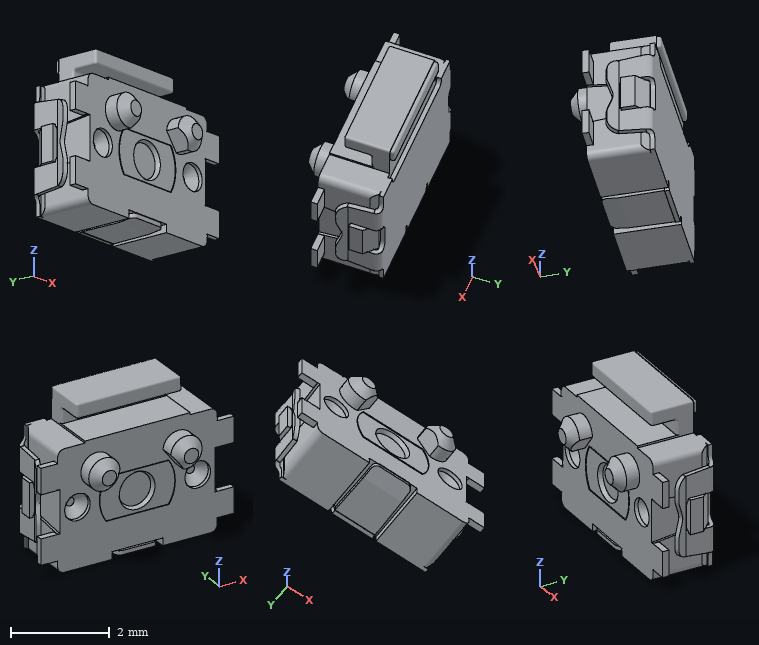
import cadquery as cq
import math


TOTAL_WIDTH = 4.6
HOUSING_WIDTH = 3.8
HOUSING_HEIGHT = 2.805
TOTAL_DEPTH = 1.415
SHEET = 0.1
HOUSING_DEPTH = TOTAL_DEPTH - SHEET
HOUSING_CORNER_RADIUS = 0.16
BACK_BEVEL_X = 0.095
BACK_BEVEL_Y = 0.18
HALF_WIDTH = HOUSING_WIDTH / 2
HALF_HEIGHT = HOUSING_HEIGHT / 2

TERMINAL_HEIGHT = 0.603
TERMINAL_THICKNESS = 0.145
TERMINAL_GAP = 1.0
RECESS_DEPTH_X = 0.055
RECESS_DEPTH_Y = 0.875
RECESS_END_HEIGHT = 0.8

BUTTON_WIDTH = 2.502
BUTTON_TOP = 2.15
BUTTON_UNDERSIDE = 1.8
BUTTON_FRONT = 0.32
STEM_FRONT = 0.915
BUTTON_RADIUS = 0.055
GUIDE_RISE = 0.045
LIP_INSET = 0.02

PEG_X = 0.975
PEG_Z = 0.75
PEG_RADIUS = 0.373
PEG_TIP_RADIUS = 0.17
PEG_LENGTH = 0.5
PEG_TAPER_LENGTH = 0.2
PEG_FLAT_OFFSET = 0.275

PANEL_RADIUS = 0.895
PANEL_HEIGHT = 1.0
PANEL_DEPTH = 0.02
CENTER_HOLE_RADIUS = 0.432
CENTER_HOLE_FLOOR_RADIUS = 0.38
CENTER_HOLE_DEPTH = 0.12
DIMPLE_X = 1.43
DIMPLE_RADIUS = 0.305
DIMPLE_FLOOR_RADIUS = 0.095
DIMPLE_RIM_DEPTH = 0.087
DIMPLE_CONE_DEPTH = 0.202

COVER_WIDTH = 3.7
COVER_NOTCH_WIDTH = 2.715
COVER_NOTCH_DEPTH = 0.185
COVER_NOTCH_RADIUS = 0.13

LEAF_OUTER_X = 2.02
LEAF_INNER_X = LEAF_OUTER_X - SHEET
BEND_RADIUS = 0.15
BEND_Y = TOTAL_DEPTH - BEND_RADIUS
LEAF_ROOT_HALF_HEIGHT = 0.985
LEAF_KNEE_HALF_HEIGHT = 0.925
LEAF_KNEE_Y = 0.685
FLARE_ANGLE = 24.0
FLARE_LENGTH = 0.27
FLARE_CORNER_RADIUS = 0.265
DIP_HALF_HEIGHT = 0.4
DIP_APEX = 0.125
DIP_RADIUS = 0.23
DIP_SHOULDER_RADIUS = 0.37
WINDOW_HALF_HEIGHT = 0.4
WINDOW_FRONT_Y = 0.718
WINDOW_FRONT_RADIUS = 0.14
WINDOW_INSET = 0.075
WINDOW_ROOT_RADIUS = 0.175
ROOT_FILLET = 0.15

CATCH_OUTER_X = 2.105
CATCH_FRONT_Y = 0.76
CATCH_BEVEL_Y = 1.06

TONGUE_SLOT_WIDTH = 1.195
TONGUE_SLOT_DEPTH = 0.18
NECK_WIDTH = 1.115
TONGUE_WIDTH = 1.01
TONGUE_END_WIDTH = 0.955
TONGUE_TIP_WIDTH = 0.69
TONGUE_TIP_RADIUS = (TONGUE_END_WIDTH - TONGUE_TIP_WIDTH) / 2
TONGUE_TIP_Y = -0.025
TONGUE_BOTTOM = -1.39
TONGUE_LIFT = 0.04
TONGUE_BEND_Y = 0.37

EPS = 0.025


def block(x0, x1, y0, y1, z0, z1):
    """Box between two corners."""
    return cq.Workplane("XY").box(x1 - x0, y1 - y0, z1 - z0, centered=False).translate((x0, y0, z0))


def wide_block(width, y0, y1, z0, z1):
    """Box centred on X = 0."""
    return block(-width / 2, width / 2, y0, y1, z0, z1)


def xz_sketch(y):
    """XZ workplane at depth y; a positive extrusion runs toward -Y."""
    return cq.Workplane("XZ", origin=(0, y, 0))


def both_sides(shape):
    """The shape with its mirror image about X = 0."""
    return shape.union(shape.mirror("YZ"))


def frustum(x, z, y, radius, end_radius, length):
    """Cone along Y from radius at y to end_radius at y + length."""
    big_end = cq.Plane(origin=(x, y, z), xDir=(1, 0, 0), normal=(0, 1 if length > 0 else -1, 0))
    taper = math.degrees(math.atan2(radius - end_radius, abs(length)))
    return cq.Workplane(big_end).circle(radius).extrude(abs(length), taper=taper)


def make_housing():
    body = wide_block(HOUSING_WIDTH, 0, HOUSING_DEPTH, -HALF_HEIGHT, HALF_HEIGHT)
    body = body.edges("|Y").fillet(HOUSING_CORNER_RADIUS)
    bevel = (
        cq.Workplane("XY", origin=(0, 0, -HALF_HEIGHT))
        .moveTo(HALF_WIDTH, HOUSING_DEPTH - BACK_BEVEL_Y)
        .lineTo(HALF_WIDTH, HOUSING_DEPTH)
        .lineTo(HALF_WIDTH - BACK_BEVEL_X, HOUSING_DEPTH)
        .close()
        .extrude(HOUSING_HEIGHT)
    )
    recess_floor_x = HALF_WIDTH - RECESS_DEPTH_X
    recess = (
        cq.Workplane("YZ", origin=(recess_floor_x, 0, 0))
        .moveTo(0, -TERMINAL_GAP / 2)
        .lineTo(RECESS_DEPTH_Y, -RECESS_END_HEIGHT / 2)
        .lineTo(RECESS_DEPTH_Y, RECESS_END_HEIGHT / 2)
        .lineTo(0, TERMINAL_GAP / 2)
        .close()
        .extrude(RECESS_DEPTH_X + EPS)
    )
    body = body.cut(both_sides(bevel)).cut(both_sides(recess))
    slot_top = -HALF_HEIGHT + TONGUE_SLOT_DEPTH
    return body.cut(wide_block(TONGUE_SLOT_WIDTH, -EPS, HOUSING_DEPTH, -HALF_HEIGHT - EPS, slot_top))


def make_terminals():
    lower = TERMINAL_GAP / 2
    upper = lower + TERMINAL_HEIGHT
    terminals = wide_block(TOTAL_WIDTH, 0, TERMINAL_THICKNESS, lower, upper)
    return terminals.union(terminals.mirror("XY"))


def make_button():
    guide_top = HALF_HEIGHT + GUIDE_RISE
    guide = wide_block(BUTTON_WIDTH, 0, HOUSING_DEPTH, HALF_HEIGHT - EPS, guide_top)
    hook = (
        cq.Workplane("YZ", origin=(-BUTTON_WIDTH / 2, 0, 0))
        .moveTo(HOUSING_DEPTH, guide_top - EPS)
        .lineTo(HOUSING_DEPTH, BUTTON_TOP)
        .lineTo(BUTTON_FRONT, BUTTON_TOP)
        .lineTo(BUTTON_FRONT, BUTTON_UNDERSIDE)
        .lineTo(STEM_FRONT, BUTTON_UNDERSIDE)
        .lineTo(STEM_FRONT, guide_top - EPS)
        .close()
        .extrude(BUTTON_WIDTH)
    )
    inner_corner = cq.selectors.NearestToPointSelector((0, STEM_FRONT, BUTTON_UNDERSIDE))
    hook = hook.edges("|X").edges(inner_corner).fillet(BUTTON_RADIUS)
    hook = hook.edges("not (<Z or >Y)").fillet(BUTTON_RADIUS)
    lip = wide_block(
        BUTTON_WIDTH - 2 * LIP_INSET,
        HOUSING_DEPTH - BUTTON_RADIUS,
        TOTAL_DEPTH,
        BUTTON_UNDERSIDE + LIP_INSET,
        BUTTON_TOP - LIP_INSET,
    )
    lip = lip.edges("|Y").fillet(BUTTON_RADIUS).faces(">Y").edges().fillet(BUTTON_RADIUS)
    return guide.union(hook).union(lip)


def make_pegs():
    shank_length = PEG_LENGTH - PEG_TAPER_LENGTH
    shank = xz_sketch(EPS).center(PEG_X, PEG_Z).circle(PEG_RADIUS).extrude(shank_length + EPS)
    tip = frustum(PEG_X, PEG_Z, -shank_length, PEG_RADIUS, PEG_TIP_RADIUS, -PEG_TAPER_LENGTH)
    peg = shank.union(tip)
    flat_angle = math.degrees(math.atan2(PEG_Z, PEG_X))
    flat = block(-PEG_RADIUS, -PEG_FLAT_OFFSET, -PEG_LENGTH, EPS, -PEG_RADIUS, PEG_RADIUS)
    flat = flat.rotate((0, 0, 0), (0, 1, 0), -flat_angle).translate((PEG_X, 0, PEG_Z))
    return both_sides(peg.cut(flat))


def make_face_hollows():
    panel = xz_sketch(PANEL_DEPTH).circle(PANEL_RADIUS).extrude(PANEL_DEPTH)
    panel = panel.intersect(
        wide_block(2 * PANEL_RADIUS, 0, PANEL_DEPTH, -PANEL_HEIGHT / 2, PANEL_HEIGHT / 2)
    )
    hole = frustum(0, 0, 0, CENTER_HOLE_RADIUS, CENTER_HOLE_FLOOR_RADIUS, CENTER_HOLE_DEPTH)
    rim = xz_sketch(DIMPLE_RIM_DEPTH).center(DIMPLE_X, 0).circle(DIMPLE_RADIUS).extrude(DIMPLE_RIM_DEPTH)
    cone = frustum(DIMPLE_X, 0, DIMPLE_RIM_DEPTH, DIMPLE_RADIUS, DIMPLE_FLOOR_RADIUS, DIMPLE_CONE_DEPTH)
    dimple = rim.union(cone)
    return panel.union(hole).union(both_sides(dimple))


def make_cover_plate():
    plate = wide_block(COVER_WIDTH, HOUSING_DEPTH, TOTAL_DEPTH, -HALF_HEIGHT, HALF_HEIGHT)
    notch_floor = HALF_HEIGHT - COVER_NOTCH_DEPTH
    notch = wide_block(COVER_NOTCH_WIDTH, HOUSING_DEPTH, TOTAL_DEPTH, notch_floor, HALF_HEIGHT)
    notch = notch.edges("|Y and <Z").fillet(COVER_NOTCH_RADIUS)
    slot_top = -HALF_HEIGHT + TONGUE_SLOT_DEPTH
    relief = (
        xz_sketch(TOTAL_DEPTH)
        .moveTo(TONGUE_SLOT_WIDTH / 2, -HALF_HEIGHT)
        .lineTo(TONGUE_WIDTH / 2, -HALF_HEIGHT)
        .lineTo(NECK_WIDTH / 2, slot_top)
        .lineTo(TONGUE_SLOT_WIDTH / 2, slot_top)
        .close()
        .extrude(SHEET)
    )
    return plate.cut(notch).cut(both_sides(relief))


def leaf_strip():
    """Strip of sheet seen along Z: cover edge, bend and straight run."""
    bend_x = LEAF_OUTER_X - BEND_RADIUS
    inner_radius = BEND_RADIUS - SHEET
    diagonal = math.sqrt(0.5)
    return (
        cq.Workplane("XY", origin=(0, 0, -HALF_HEIGHT))
        .moveTo(COVER_WIDTH / 2 - EPS, TOTAL_DEPTH)
        .lineTo(bend_x, TOTAL_DEPTH)
        .threePointArc(
            (bend_x + BEND_RADIUS * diagonal, BEND_Y + BEND_RADIUS * diagonal),
            (LEAF_OUTER_X, BEND_Y),
        )
        .lineTo(LEAF_OUTER_X, LEAF_KNEE_Y)
        .lineTo(LEAF_INNER_X, LEAF_KNEE_Y)
        .lineTo(LEAF_INNER_X, BEND_Y)
        .threePointArc(
            (bend_x + inner_radius * diagonal, BEND_Y + inner_radius * diagonal),
            (bend_x, BEND_Y + inner_radius),
        )
        .lineTo(COVER_WIDTH / 2 - EPS, HOUSING_DEPTH)
        .close()
        .extrude(HOUSING_HEIGHT)
    )


def leaf_outline():
    """Outline of the bend and straight run, seen along X."""
    return (
        cq.Workplane("YZ")
        .moveTo(TOTAL_DEPTH, -LEAF_ROOT_HALF_HEIGHT)
        .lineTo(BEND_Y, -LEAF_ROOT_HALF_HEIGHT)
        .lineTo(LEAF_KNEE_Y, -LEAF_KNEE_HALF_HEIGHT)
        .lineTo(LEAF_KNEE_Y, LEAF_KNEE_HALF_HEIGHT)
        .lineTo(BEND_Y, LEAF_ROOT_HALF_HEIGHT)
        .lineTo(TOTAL_DEPTH, LEAF_ROOT_HALF_HEIGHT)
        .close()
        .extrude(TOTAL_WIDTH / 2)
    )


def leaf_flare():
    """Tilted tip of the leaf with round corners and a shallow dip in its free edge."""
    angle = math.radians(FLARE_ANGLE)
    flare_plane = cq.Plane(
        origin=(LEAF_INNER_X, LEAF_KNEE_Y, 0),
        xDir=(math.sin(angle), -math.cos(angle), 0),
        normal=(math.cos(angle), math.sin(angle), 0),
    )
    corners = [
        (0, -LEAF_KNEE_HALF_HEIGHT),
        (FLARE_LENGTH, -LEAF_KNEE_HALF_HEIGHT),
        (FLARE_LENGTH, -DIP_HALF_HEIGHT),
        (DIP_APEX, 0),
        (FLARE_LENGTH, DIP_HALF_HEIGHT),
        (FLARE_LENGTH, LEAF_KNEE_HALF_HEIGHT),
        (0, LEAF_KNEE_HALF_HEIGHT),
    ]
    flare = cq.Workplane(flare_plane).polyline(corners).close().extrude(SHEET)

    def round_edge(shape, along, z, radius):
        point = flare_plane.toWorldCoords((along, z, SHEET / 2))
        edge = cq.selectors.NearestToPointSelector(point.toTuple())
        return shape.edges(edge).fillet(radius)

    flare = round_edge(flare, DIP_APEX, 0, DIP_RADIUS)
    for side in (-1, 1):
        flare = round_edge(flare, FLARE_LENGTH, side * DIP_HALF_HEIGHT, DIP_SHOULDER_RADIUS)
        flare = round_edge(flare, FLARE_LENGTH, side * LEAF_KNEE_HALF_HEIGHT, FLARE_CORNER_RADIUS)
    return flare


def root_fillet(z, direction):
    """Concave corner, seen along Y, between the cover edge and a leaf edge at height z."""
    x = COVER_WIDTH / 2
    middle = ROOT_FILLET * (1 - math.sqrt(0.5))
    return (
        xz_sketch(TOTAL_DEPTH)
        .moveTo(x, z)
        .lineTo(x + ROOT_FILLET, z)
        .threePointArc((x + middle, z + direction * middle), (x, z + direction * ROOT_FILLET))
        .close()
        .extrude(BEND_RADIUS)
    )


def make_leaves():
    outline = leaf_outline()
    for side in (-1, 1):
        outline = outline.union(root_fillet(side * LEAF_ROOT_HALF_HEIGHT, side))
    return both_sides(leaf_strip().intersect(outline).union(leaf_flare()))


def make_windows():
    """Openings through the leaves, rounded at the front and where they enter the cover."""
    opening = block(
        COVER_WIDTH / 2 - WINDOW_INSET,
        TOTAL_WIDTH / 2,
        WINDOW_FRONT_Y,
        TOTAL_DEPTH + EPS,
        -WINDOW_HALF_HEIGHT,
        WINDOW_HALF_HEIGHT,
    )
    front_rounded = opening.edges("|X and <Y").fillet(WINDOW_FRONT_RADIUS)
    root_rounded = opening.edges("|Y and <X").fillet(WINDOW_ROOT_RADIUS)
    return both_sides(front_rounded.intersect(root_rounded))


def make_catches():
    root_x = HALF_WIDTH - BACK_BEVEL_X
    catch = (
        cq.Workplane("XY", origin=(0, 0, -WINDOW_HALF_HEIGHT))
        .moveTo(root_x, CATCH_FRONT_Y)
        .lineTo(CATCH_OUTER_X, CATCH_FRONT_Y)
        .lineTo(CATCH_OUTER_X, CATCH_BEVEL_Y)
        .lineTo(COVER_WIDTH / 2, HOUSING_DEPTH)
        .lineTo(root_x, HOUSING_DEPTH)
        .close()
        .extrude(2 * WINDOW_HALF_HEIGHT)
    )
    return both_sides(catch)


def make_tongue():
    """Flat tongue with a raised, round-cornered tip."""
    bottom = TONGUE_BOTTOM
    profile = (
        cq.Workplane("YZ", origin=(-TONGUE_WIDTH / 2, 0, 0))
        .moveTo(HOUSING_DEPTH + EPS, bottom)
        .lineTo(TONGUE_BEND_Y, bottom)
        .lineTo(TONGUE_TIP_Y, bottom + TONGUE_LIFT)
        .lineTo(TONGUE_TIP_Y, bottom + TONGUE_LIFT + SHEET)
        .lineTo(TONGUE_BEND_Y, bottom + SHEET)
        .lineTo(HOUSING_DEPTH + EPS, bottom + SHEET)
        .close()
        .extrude(TONGUE_WIDTH)
    )
    plan = (
        cq.Workplane("XY", origin=(0, 0, -HALF_HEIGHT))
        .moveTo(-TONGUE_WIDTH / 2, HOUSING_DEPTH + EPS)
        .lineTo(-TONGUE_END_WIDTH / 2, TONGUE_TIP_Y)
        .lineTo(TONGUE_END_WIDTH / 2, TONGUE_TIP_Y)
        .lineTo(TONGUE_WIDTH / 2, HOUSING_DEPTH + EPS)
        .close()
        .extrude(TONGUE_SLOT_DEPTH)
        .edges("|Z and <Y")
        .fillet(TONGUE_TIP_RADIUS)
    )
    return profile.intersect(plan)


cover = make_cover_plate().union(make_leaves()).cut(make_windows()).union(make_tongue())

result = (
    make_housing()
    .union(make_terminals())
    .union(make_button())
    .cut(make_face_hollows())
    .union(make_pegs())
    .union(make_catches())
    .union(cover)
)